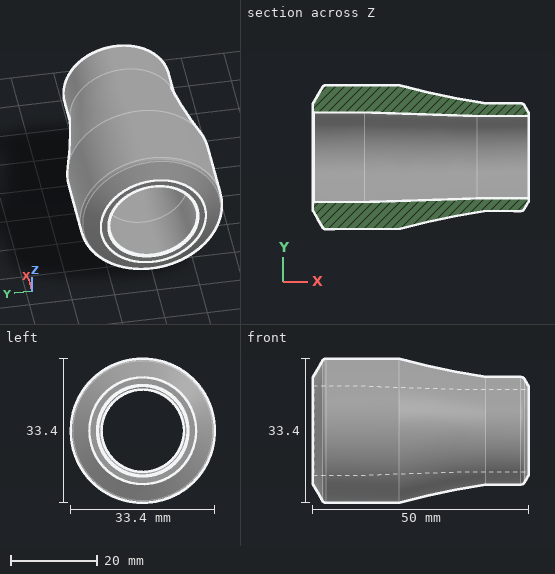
import cadquery as cq
import math

length = 50.0
large_end_length = 20.0
transition_length = 20.0

large_diameter = 33.4
small_diameter = 25.0
large_face_diameter = 24.7
small_face_diameter = 20.5
bevel_angle = 30.0
bevel_rounding = 1.0
transition_sag = 0.3

large_bore_diameter = 20.7
small_bore_diameter = 19.0
bore_end_length = 12.0
bore_chamfer = 0.25

edge_search_margin = 0.25

x_large_face = -length / 2
x_small_face = length / 2
x_transition_start = x_large_face + large_end_length
x_transition_end = x_transition_start + transition_length
x_taper_start = x_large_face + bore_end_length
x_taper_end = x_small_face - bore_end_length
large_radius = large_diameter / 2
small_radius = small_diameter / 2


def bevel_depth(outer_diameter, face_diameter):
    """Axial depth of a weld bevel between its end face and the cylinder."""
    return (outer_diameter - face_diameter) / 2 * math.tan(math.radians(bevel_angle))


def make_body():
    """Revolve the outside: two bevelled cylinders joined by a hollow transition."""
    x_large_bevel = x_large_face + bevel_depth(large_diameter, large_face_diameter)
    x_small_bevel = x_small_face - bevel_depth(small_diameter, small_face_diameter)
    chord_angle = math.atan2(large_radius - small_radius, transition_length)
    transition_middle = (
        (x_transition_start + x_transition_end) / 2 - transition_sag * math.sin(chord_angle),
        (large_radius + small_radius) / 2 - transition_sag * math.cos(chord_angle),
    )
    body = (
        cq.Workplane("XY")
        .moveTo(x_large_face, 0)
        .lineTo(x_large_face, large_face_diameter / 2)
        .lineTo(x_large_bevel, large_radius)
        .lineTo(x_transition_start, large_radius)
        .threePointArc(transition_middle, (x_transition_end, small_radius))
        .lineTo(x_small_bevel, small_radius)
        .lineTo(x_small_face, small_face_diameter / 2)
        .lineTo(x_small_face, 0)
        .close()
        .revolve(360, (0, 0, 0), (1, 0, 0))
    )
    for x_bevel in (x_large_bevel, x_small_bevel):
        bevel_edge = cq.selectors.BoxSelector(
            (x_bevel - edge_search_margin, -large_diameter, -large_diameter),
            (x_bevel + edge_search_margin, large_diameter, large_diameter),
            boundingbox=True,
        )
        body = body.edges("%CIRCLE").edges(bevel_edge).fillet(bevel_rounding)
    return body


def make_bore():
    """Revolve the through bore, tapering between two cylinders."""
    large_bore_radius = large_bore_diameter / 2
    small_bore_radius = small_bore_diameter / 2
    return (
        cq.Workplane("XY")
        .moveTo(x_large_face, 0)
        .lineTo(x_large_face, large_bore_radius + bore_chamfer)
        .lineTo(x_large_face + bore_chamfer, large_bore_radius)
        .lineTo(x_taper_start, large_bore_radius)
        .lineTo(x_taper_end, small_bore_radius)
        .lineTo(x_small_face, small_bore_radius)
        .lineTo(x_small_face, 0)
        .close()
        .revolve(360, (0, 0, 0), (1, 0, 0))
    )


result = make_body().cut(make_bore())